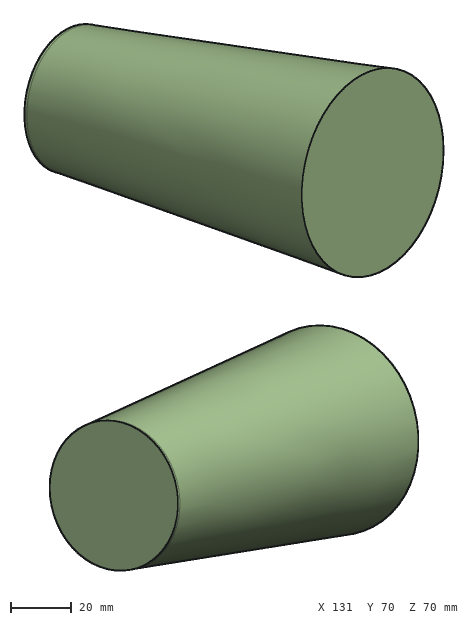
import cadquery as cq

total_length = 131.0
large_diameter = 70.0
small_diameter = 50.0
collar_length = 1.0

collar = cq.Workplane("YZ").circle(small_diameter / 2).extrude(collar_length)

taper = (
    cq.Workplane("YZ", origin=(collar_length, 0, 0))
    .circle(small_diameter / 2)
    .workplane(offset=total_length - collar_length)
    .circle(large_diameter / 2)
    .loft(ruled=True)
)

result = collar.union(taper)